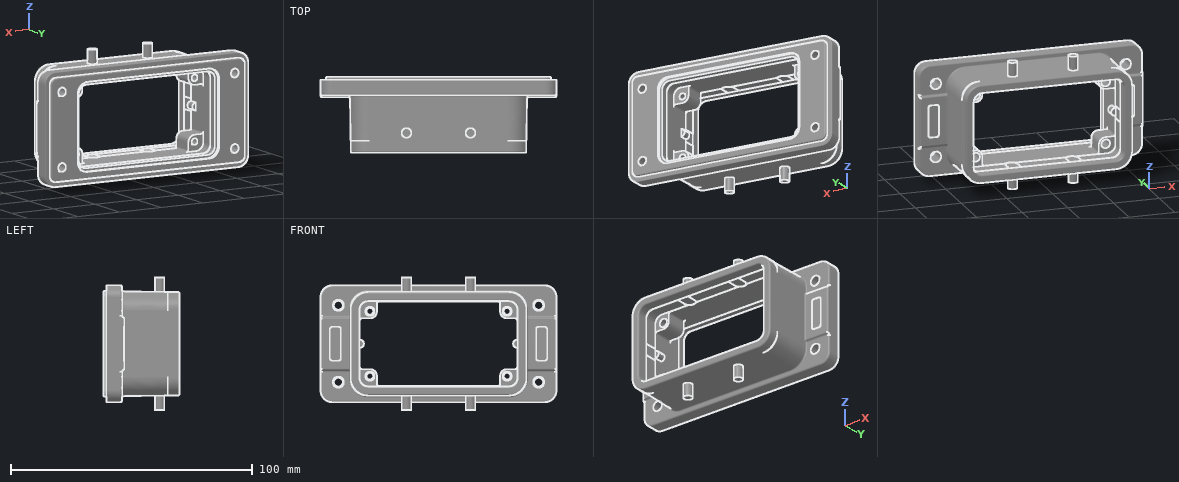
import cadquery as cq
import math


flange_length = 97.99
flange_height = 48.6
flange_corner = 5.0
flange_back_depth = 1.25
flange_front_depth = 7.75
flange_front_fillet = 0.8
flange_back_fillet = 0.35
rim_inset = 2.25
rim_fillet = 0.7

pad_front_depth = 8.6
pad_foot_height = 23.4
pad_top_height = 20.6
panel_offset = 42.75
panel_width = 4.6
panel_height = 14.0
panel_corner = 1.0
panel_depth = 0.2

total_depth = 31.65
collar_depth = 26.65
hood_length = 73.0
hood_height = 43.0
hood_corner = 7.0
drafted_corner = 7.5
hood_draft = 0.3
hood_base_fillet = 0.6
hood_end_fillet = 0.8

cavity_length = 65.2
cavity_height = 35.0
cavity_corner = 3.4
zone_step = 0.12
throat_depth = 4.9
rear_zone_depth = 20.6
back_recess_margin = 1.5
mouth_fillet = 0.7

boss_x = 28.45
boss_z = 13.46
boss_radius = 2.95
boss_back_depth = 10.6
boss_root_fillet = 0.8
boss_hole_front = 1.9
boss_hole_back = 1.4

mount_x = 41.55
mount_z = 15.94
mount_hole_front = 2.3
mount_hole_back = 1.85

pin_x = 13.28
pin_depth = 23.35
pin_radius = 2.0
pin_span = 55.09
relief_radius = 2.67
relief_end_center = 22.4
relief_depth = 0.18

rib_radius = 1.7
rib_length = 4.0

wall_overlap = 1.0
selection_gap = 0.1


def block(length, height, corner, back, front):
    """Rounded rectangular block between two depths."""
    sketch = cq.Sketch().rect(length, height).vertices().fillet(corner)
    return cq.Workplane("XZ", origin=(0, -back, 0)).placeSketch(sketch).extrude(front - back)


def cylinder(x, z, radius, back, front):
    """Round bar along Y between two depths."""
    return cq.Workplane("XZ", origin=(x, -back, z)).circle(radius).extrude(front - back)


def tapered_bore(x, z, back_radius, front_radius, back, front):
    """Conical cutter along Y between two depths."""
    return cq.Workplane(
        cq.Solid.makeCone(
            back_radius, front_radius, front - back, cq.Vector(x, -back, z), cq.Vector(0, -1, 0)
        )
    )


def make_pad_band():
    """Bar along X whose front rises to the pad through an S-shaped blend on each side."""
    foot_z = pad_foot_height / 2
    top_z = pad_top_height / 2
    blend_width = foot_z - top_z
    blend_rise = pad_front_depth - flange_front_depth
    half_turn = math.atan(blend_rise / blend_width)
    blend_radius = blend_width / (2 * math.sin(2 * half_turn))
    arc_run = blend_radius * math.sin(half_turn)
    arc_rise = blend_radius * (1 - math.cos(half_turn))
    middle = (-(flange_front_depth + pad_front_depth) / 2, (foot_z + top_z) / 2)
    hollow_mid = (-flange_front_depth - arc_rise, foot_z - arc_run)
    crown_mid = (-pad_front_depth + arc_rise, top_z + arc_run)

    def lower(point):
        return (point[0], -point[1])

    return (
        cq.Workplane("YZ", origin=(-flange_length / 2, 0, 0))
        .moveTo(-flange_back_depth, -foot_z)
        .lineTo(-flange_front_depth, -foot_z)
        .threePointArc(lower(hollow_mid), lower(middle))
        .threePointArc(lower(crown_mid), (-pad_front_depth, -top_z))
        .lineTo(-pad_front_depth, top_z)
        .threePointArc(crown_mid, middle)
        .threePointArc(hollow_mid, (-flange_front_depth, foot_z))
        .lineTo(-flange_back_depth, foot_z)
        .close()
        .extrude(flange_length)
    )


def make_flange():
    def plate(front):
        body = block(flange_length, flange_height, flange_corner, flange_back_depth, front)
        body = body.faces("<Y").edges().fillet(flange_front_fillet)
        return body.faces(">Y").edges().fillet(flange_back_fillet)

    rim = block(
        flange_length - 2 * rim_inset,
        flange_height - 2 * rim_inset,
        flange_corner - rim_inset,
        0,
        flange_front_depth - wall_overlap,
    )
    rim = rim.faces(">Y").edges().fillet(rim_fillet)
    return plate(flange_front_depth).union(plate(pad_front_depth).intersect(make_pad_band())).union(rim)


def make_hood():
    collar = block(hood_length, hood_height, hood_corner, collar_depth, total_depth)
    collar = collar.faces("<Y").edges().fillet(hood_end_fillet)
    drafted_depth = collar_depth - flange_front_depth
    draft_angle = math.degrees(math.atan(hood_draft / drafted_depth))
    buried_depth = collar_depth - flange_back_depth - wall_overlap
    outline = cq.Sketch().rect(hood_length, hood_height).vertices().fillet(drafted_corner)
    drafted_wall = (
        cq.Workplane("ZX", origin=(0, -collar_depth, 0))
        .transformed(rotate=(0, 0, 90))
        .placeSketch(outline)
        .extrude(buried_depth, taper=-draft_angle)
    )
    return drafted_wall.union(collar)


def fillet_edges_near(body, half_x, half_z, back, front, radius):
    """Fillet every edge that lies inside a centred box between two depths."""
    box = cq.selectors.BoxSelector(
        (-half_x, -front - selection_gap, -half_z),
        (half_x, -back + selection_gap, half_z),
        boundingbox=True,
    )
    return body.edges(box).fillet(radius)


def fillet_hood_base(body):
    half_x = hood_length / 2 + wall_overlap
    half_z = hood_height / 2 + wall_overlap
    return fillet_edges_near(
        body, half_x, half_z, flange_front_depth, pad_front_depth, hood_base_fillet
    )


def cavity_zone(step, back, front):
    """Cavity cutter widened on every side by a number of zone steps."""
    growth = 2 * step * zone_step
    return block(
        cavity_length + growth, cavity_height + growth, cavity_corner + step * zone_step, back, front
    )


def cut_cavity(body):
    back_recess = block(
        cavity_length + 2 * back_recess_margin,
        cavity_height + 2 * back_recess_margin,
        cavity_corner + back_recess_margin,
        0,
        flange_back_depth,
    )
    body = body.cut(back_recess)
    body = body.cut(cavity_zone(1, flange_back_depth, throat_depth))
    body = body.cut(cavity_zone(0, throat_depth, rear_zone_depth))
    body = body.cut(cavity_zone(1, rear_zone_depth, collar_depth))
    body = body.cut(cavity_zone(2, collar_depth, total_depth))
    half_x = cavity_length / 2 + wall_overlap
    half_z = cavity_height / 2 + wall_overlap
    return fillet_edges_near(body, half_x, half_z, total_depth, total_depth, mouth_fillet)


def cut_reliefs(body):
    """Shallow round-ended channels behind the pins and square ones on the short walls."""
    channel_length = collar_depth - relief_end_center
    channel_height = cavity_height + 2 * relief_depth
    for x in (-pin_x, pin_x):
        round_end = cq.Workplane("XY").circle(relief_radius).extrude(channel_height / 2, both=True)
        body = body.cut(round_end.translate((x, -relief_end_center, 0)))
        channel = cq.Workplane("XY").box(2 * relief_radius, channel_length, channel_height)
        body = body.cut(channel.translate((x, -relief_end_center - channel_length / 2, 0)))
    side_length = collar_depth - rear_zone_depth
    side_channel = cq.Workplane("XY").box(
        cavity_length + 2 * relief_depth, side_length, 2 * relief_radius
    )
    return body.cut(side_channel.translate((0, -rear_zone_depth - side_length / 2, 0)))


def make_boss(side_x, side_z):
    """Corner boss, rounded about its screw hole and blended into both walls."""
    inner_x = boss_x - boss_radius
    inner_z = boss_z - boss_radius
    wall_x = cavity_length / 2
    wall_z = cavity_height / 2
    outer_x = wall_x + wall_overlap
    outer_z = wall_z + wall_overlap
    root = boss_root_fillet
    mid = boss_radius * math.sqrt(0.5)
    root_mid = root * (1 - math.sqrt(0.5))

    def at(x, z):
        return (side_x * x, side_z * z)

    return (
        cq.Workplane("XZ", origin=(0, -boss_back_depth, 0))
        .moveTo(*at(outer_x, outer_z))
        .lineTo(*at(inner_x - root, outer_z))
        .lineTo(*at(inner_x - root, wall_z))
        .threePointArc(at(inner_x - root_mid, wall_z - root_mid), at(inner_x, wall_z - root))
        .lineTo(*at(inner_x, boss_z))
        .threePointArc(at(boss_x - mid, boss_z - mid), at(boss_x, inner_z))
        .lineTo(*at(wall_x - root, inner_z))
        .threePointArc(at(wall_x - root_mid, inner_z - root_mid), at(wall_x, inner_z - root))
        .lineTo(*at(outer_x, inner_z - root))
        .close()
        .extrude(rear_zone_depth - boss_back_depth)
    )


def add_bosses(body):
    for side_x in (-1, 1):
        for side_z in (-1, 1):
            body = body.union(make_boss(side_x, side_z))
            bore = tapered_bore(
                side_x * boss_x, side_z * boss_z,
                boss_hole_back, boss_hole_front, boss_back_depth, rear_zone_depth,
            )
            body = body.cut(bore)
    return body


def add_ribs(body):
    for side in (-1, 1):
        rib_x = side * cavity_length / 2
        body = body.union(cylinder(rib_x, 0, rib_radius, rear_zone_depth - rib_length, rear_zone_depth))
    return body


def add_pins(body):
    root_z = cavity_height / 2 + wall_overlap
    for x in (-pin_x, pin_x):
        pin = cq.Workplane("XY", origin=(x, -pin_depth, root_z)).circle(pin_radius)
        pin = pin.extrude(pin_span / 2 - root_z)
        body = body.union(pin).union(pin.mirror("XY"))
    return body


def cut_mounting_holes(body):
    for x in (-mount_x, mount_x):
        for z in (-mount_z, mount_z):
            body = body.cut(
                tapered_bore(x, z, mount_hole_back, mount_hole_front, 0, flange_front_depth)
            )
    return body


def cut_panels(body):
    panel = block(
        panel_width, panel_height, panel_corner, pad_front_depth - panel_depth, pad_front_depth
    )
    for x in (-panel_offset, panel_offset):
        body = body.cut(panel.translate((x, 0, 0)))
    return body


housing = fillet_hood_base(make_flange().union(make_hood()))
housing = cut_cavity(housing)
housing = cut_reliefs(housing)
housing = add_bosses(housing)
housing = add_ribs(housing)
housing = add_pins(housing)
housing = cut_mounting_holes(housing)
result = cut_panels(housing)